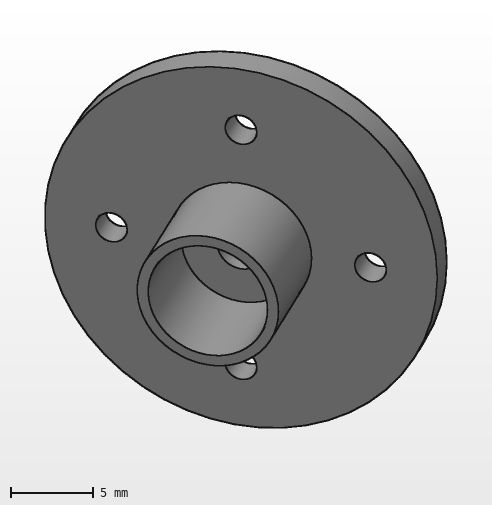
import cadquery as cq

flange_diameter = 25.0
flange_thickness = 2.0

total_length = 8.8
hub_length = total_length - flange_thickness
hub_diameter = 9.0
bore_diameter = 7.6

center_hole_diameter = 3.0
bolt_hole_diameter = 2.0
bolt_circle_radius = 8.25
bolt_count = 4


def cylinder(diameter, y_start, length):
    """Cylinder on the Y axis, running towards +Y from y_start."""
    base = cq.Workplane(cq.Plane(origin=(0, y_start, 0), xDir=(1, 0, 0), normal=(0, 1, 0)))
    return base.circle(diameter / 2).extrude(length)


def bolt_holes():
    """Ring of cutters passing through the flange."""
    plane = cq.Plane(origin=(0, 0, 0), xDir=(1, 0, 0), normal=(0, 1, 0))
    centers = cq.Workplane(plane).polarArray(bolt_circle_radius, 0, 360, bolt_count)
    return centers.circle(bolt_hole_diameter / 2).extrude(flange_thickness)


flange = cylinder(flange_diameter, 0, flange_thickness)
hub = cylinder(hub_diameter, -hub_length, hub_length)

bore = cylinder(bore_diameter, -hub_length, hub_length)
center_hole = cylinder(center_hole_diameter, 0, flange_thickness)

result = flange.union(hub).cut(bore).cut(center_hole).cut(bolt_holes())